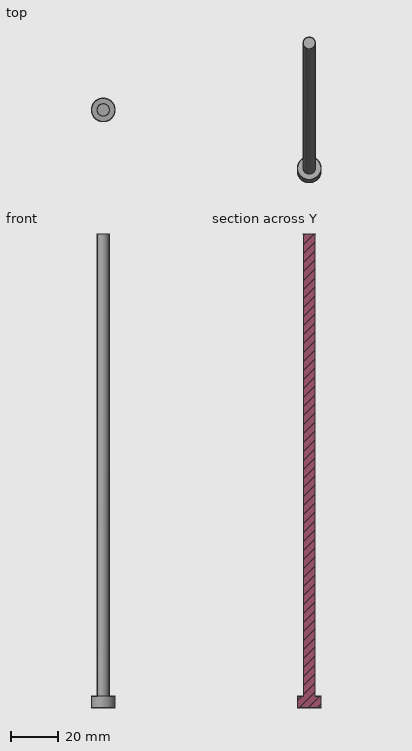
import cadquery as cq

total_length = 200.0
head_diameter = 10.0
head_height = 5.0
shank_diameter = 5.2

head = cq.Workplane("XY").circle(head_diameter / 2).extrude(head_height)

result = (
    head.faces(">Z")
    .workplane()
    .circle(shank_diameter / 2)
    .extrude(total_length - head_height)
)